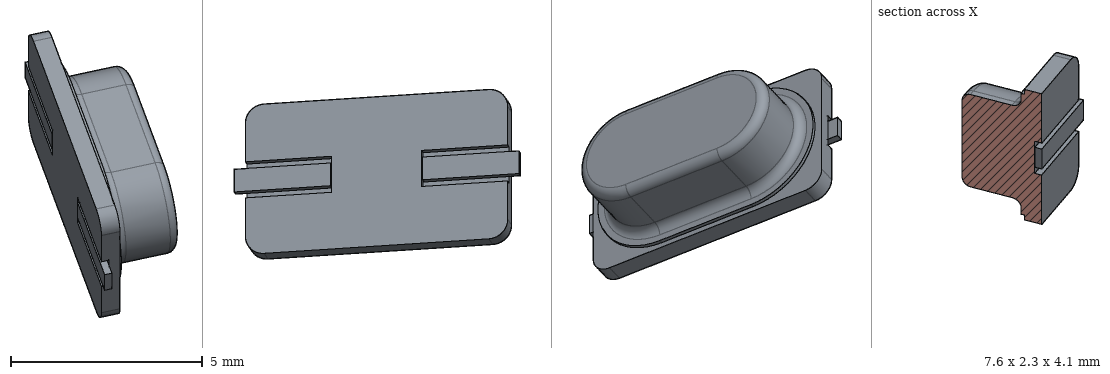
import cadquery as cq

plate_length = 7.0
plate_height = 4.1
plate_thickness = 0.5
plate_corner_radius = 0.5

end_centre_spacing = 2.8
rim_height = 3.79
rim_thickness = 0.1
body_height = 2.9
crown_radius = 0.25
flare_radius = 0.25
foot_margin = 0.04

overall_length = 7.6
overall_depth = 2.3
pocket_depth = 0.2
pocket_length = 2.295
pocket_width = 0.99
lead_width = 0.62
lead_end_gap = 0.02

rim_top = plate_thickness + rim_thickness
pocket_inner_x = plate_length / 2 - pocket_length
lead_inner_x = pocket_inner_x + lead_end_gap
lead_outer_x = overall_length / 2


def plane_at(y):
    """XZ workplane at the given Y whose extrusions go toward +Y."""
    return cq.Workplane(cq.Plane(origin=(0, y, 0), xDir=(1, 0, 0), normal=(0, 1, 0)))


def rounded_slot(y, height, depth):
    """Slot-shaped block with fully rounded ends, starting at y."""
    return plane_at(y).slot2D(end_centre_spacing + height, height).extrude(depth)


def mirrored_bars(inner_x, outer_x, width):
    """Pair of mirrored bars, pocket_depth thick, set in the outer face."""
    length = outer_x - inner_x
    centre_x = (inner_x + outer_x) / 2
    return (
        plane_at(0)
        .pushPoints([(-centre_x, 0), (centre_x, 0)])
        .rect(length, width)
        .extrude(pocket_depth)
    )


plate = (
    plane_at(0)
    .rect(plate_length, plate_height)
    .extrude(plate_thickness)
    .edges("|Y")
    .fillet(plate_corner_radius)
)

rim = rounded_slot(plate_thickness, rim_height, rim_thickness)
body = rounded_slot(rim_top, body_height, overall_depth - rim_top)
body = body.faces(">Y").edges().fillet(crown_radius)
can = rim.union(body)
foot_half_length = (end_centre_spacing + body_height) / 2 + foot_margin
foot_half_height = body_height / 2 + foot_margin
body_foot = cq.selectors.BoxSelector(
    (-foot_half_length, rim_top - foot_margin, -foot_half_height),
    (foot_half_length, rim_top + foot_margin, foot_half_height),
    boundingbox=True,
)
can = can.edges(body_foot).fillet(flare_radius)

pockets = mirrored_bars(pocket_inner_x, plate_length / 2, pocket_width)
leads = mirrored_bars(lead_inner_x, lead_outer_x, lead_width)

result = plate.union(can).cut(pockets).union(leads)